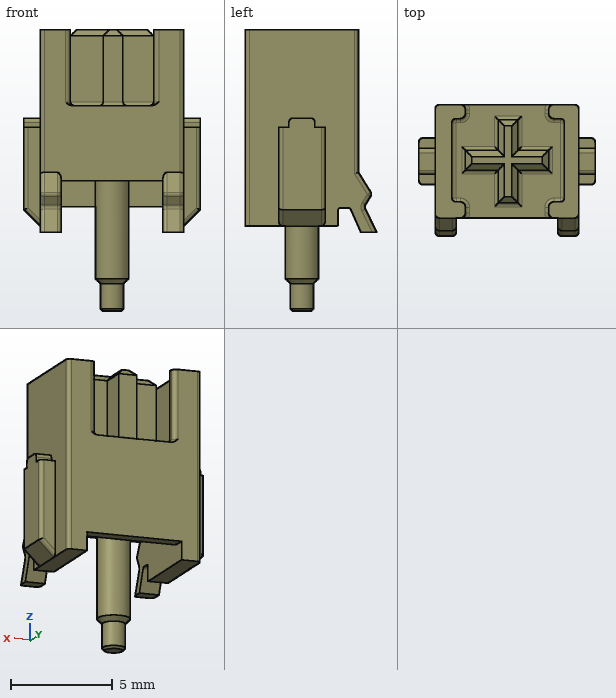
import cadquery as cq


body_width = 7.09
body_depth = 5.6
top_z = 13.9
bottom_z = 4.2
edge_radius = 0.21
half_width = body_width / 2
half_depth = body_depth / 2

floor_z = 10.15
pocket_width = 5.56
pocket_depth = 4.11
opening_width = 4.1
center_shift = 0.05
lip_radius = 0.26
corner_radius = 0.21
floor_radius = 0.2

arm_length = opening_width
arm_width = 0.97
arm_chamfer = 0.3

side_wall = 1.04
back_wall = 0.76
recess_z = 6.45
back_wall_z = 5.14
recess_width = body_width - 2 * side_wall

notch_y = -1.8
notch_z = 5.09
notch_radius = 0.1
clip_top = (-half_depth, 6.85)
clip_nose = (-3.46, 5.78)
clip_waist = (-3.09, 5.15)
clip_end_z = 3.89
clip_toe_y = -3.7
clip_heel_y = -2.9
clip_root_y = -2.38
clip_nose_radius = 0.2
clip_waist_radius = 0.21
clip_inset = 0.42

overall_width = 8.72
lug_depth = 2.31
lug_shoulder_z = 9.08
lug_top_z = 9.54
tongue_depth = 1.28
tongue_radius = 0.21
lug_reach = (overall_width - body_width) / 2

pin_diameter = 1.65
tip_diameter = 1.15
pin_shoulder_z = 1.61
tip_chamfer = 0.13


def block(x_range, y_range, z_range):
    """Axis-aligned box between the given limits."""
    size = [high - low for low, high in (x_range, y_range, z_range)]
    corner = (x_range[0], y_range[0], z_range[0])
    return cq.Workplane("XY").box(*size, centered=False).translate(corner)


def upright(width, depth, low_z, high_z):
    """Box centred on the Z axis."""
    return block((-width / 2, width / 2), (-depth / 2, depth / 2), (low_z, high_z))


def make_socket():
    """Space inside the socket: pocket, two openings that flare outward, rounded floor edge."""
    pocket = upright(pocket_width, pocket_depth, floor_z, top_z).translate((center_shift, center_shift, 0))
    opening = upright(opening_width, 2 * body_depth, floor_z, top_z)
    outside = upright(body_width, 2 * body_depth, floor_z, top_z)
    outside = outside.cut(upright(body_width, body_depth, floor_z, top_z))
    lip_reach = (opening_width / 2 + pocket_width / 2) / 2
    lip_edges = cq.selectors.BoxSelector(
        (-lip_reach, -half_depth - edge_radius, floor_z), (lip_reach, half_depth + edge_radius, top_z)
    )
    wall_edges = cq.selectors.BoxSelector(
        (-half_width, -half_depth + edge_radius, floor_z), (half_width, half_depth - edge_radius, top_z)
    )
    socket = pocket.union(opening).union(outside)
    socket = socket.edges("|Z").edges(lip_edges).fillet(lip_radius)
    socket = socket.edges("|Z").edges(wall_edges - lip_edges).fillet(corner_radius)
    return socket.faces("<Z").edges().fillet(floor_radius)


def make_cross():
    """Cross post with a chamfered top."""
    across = upright(arm_length, arm_width, floor_z, top_z).translate((0, center_shift, 0))
    along = upright(arm_width, arm_length, floor_z, top_z).translate((center_shift, 0, 0))
    return across.union(along).faces(">Z").chamfer(arm_chamfer)


def make_housing():
    """Rounded block with the socket cut out and the cross post standing in it."""
    housing = upright(body_width, body_depth, bottom_z, top_z).edges("|Z").fillet(edge_radius)
    housing = housing.cut(make_socket()).union(make_cross())
    foot_reach = arm_length / 2 + center_shift
    foot = cq.selectors.BoxSelector(
        (-foot_reach, -foot_reach, floor_z - floor_radius), (foot_reach, foot_reach, floor_z + floor_radius)
    )
    return housing.edges(foot).fillet(floor_radius)


def cut_underside(housing):
    """Open the recess and clear the wall ends where the clips attach."""
    half_recess = recess_width / 2
    recess = block((-half_recess, half_recess), (-half_depth, half_depth - back_wall), (bottom_z, recess_z))
    below_back = upright(recess_width, body_depth, bottom_z, back_wall_z)
    wall_ends = block((-half_width, half_width), (-half_depth, notch_y), (bottom_z, recess_z))
    return housing.cut(recess).cut(below_back).cut(wall_ends)


def make_clip():
    """Zigzag clip on the +X wall, with its front edges rounded."""
    slope = (clip_top[1] - clip_nose[1]) / (clip_top[0] - clip_nose[0])
    buried_top = (clip_top[0] + clip_inset, clip_top[1] + clip_inset * slope)
    profile = [
        buried_top,
        clip_nose,
        clip_waist,
        (clip_toe_y, clip_end_z),
        (clip_heel_y, clip_end_z),
        (clip_root_y, notch_z),
        (notch_y, notch_z),
        (notch_y, buried_top[1]),
    ]
    clip = cq.Workplane("YZ", origin=(half_width - side_wall, 0, 0)).polyline(profile).close().extrude(side_wall)

    def edge_at(point):
        mid_x = half_width - side_wall / 2
        return cq.selectors.NearestToPointSelector((mid_x, *point))

    clip = clip.edges("|X").edges(edge_at(clip_nose)).fillet(clip_nose_radius)
    clip = clip.edges("|X").edges(edge_at(clip_waist)).fillet(clip_waist_radius)
    clip = clip.edges("|X").edges(edge_at((clip_root_y, notch_z))).fillet(notch_radius)
    front_mid = ((clip_waist[0] + clip_toe_y) / 2, (clip_waist[1] + clip_end_z) / 2)
    for x in (half_width - side_wall, half_width):
        clip = clip.edges(cq.selectors.NearestToPointSelector((x, *front_mid))).fillet(edge_radius)
    return clip


def make_lug():
    """Lug on the +X side: bevelled foot, rounded outer edges, narrow tongue on top."""
    outer_x = overall_width / 2
    side_profile = [
        (half_width, bottom_z),
        (outer_x, bottom_z + lug_reach),
        (outer_x, lug_shoulder_z),
        (half_width, lug_shoulder_z),
    ]
    lug = cq.Workplane("XZ").polyline(side_profile).close().extrude(lug_depth / 2, both=True)
    outer_edges = lug.faces(">X").edges("|Z").vals() + lug.faces("<Z").edges("not |Y").vals()
    lug = lug.newObject(outer_edges).fillet(edge_radius)
    tongue = block(
        (half_width, outer_x), (-tongue_depth / 2, tongue_depth / 2), (bottom_z + lug_reach, lug_top_z)
    )
    return lug.union(tongue.faces(">Z").edges("|X").fillet(tongue_radius))


def make_pin():
    """Stepped pin with a conical shoulder."""
    pin_radius = pin_diameter / 2
    tip_radius = tip_diameter / 2
    shoulder_drop = pin_radius - tip_radius
    profile = [
        (0, 0),
        (tip_radius - tip_chamfer, 0),
        (tip_radius, tip_chamfer),
        (tip_radius, pin_shoulder_z - shoulder_drop),
        (pin_radius, pin_shoulder_z),
        (pin_radius, recess_z),
        (0, recess_z),
    ]
    return cq.Workplane("XZ").polyline(profile).close().revolve(360, (0, 0, 0), (0, 1, 0))


def round_notches(housing):
    """Round the two wall-side corners of each notch behind the clips."""
    for x in (-half_width + side_wall / 2, half_width - side_wall / 2):
        for z in (bottom_z, notch_z):
            corner = cq.selectors.NearestToPointSelector((x, notch_y, z))
            housing = housing.edges("|X").edges(corner).fillet(notch_radius)
    return housing


clip = make_clip()
lug = make_lug()
result = cut_underside(make_housing()).union(clip).union(clip.mirror("YZ"))
result = round_notches(result)
result = result.union(lug).union(lug.mirror("YZ")).union(make_pin())